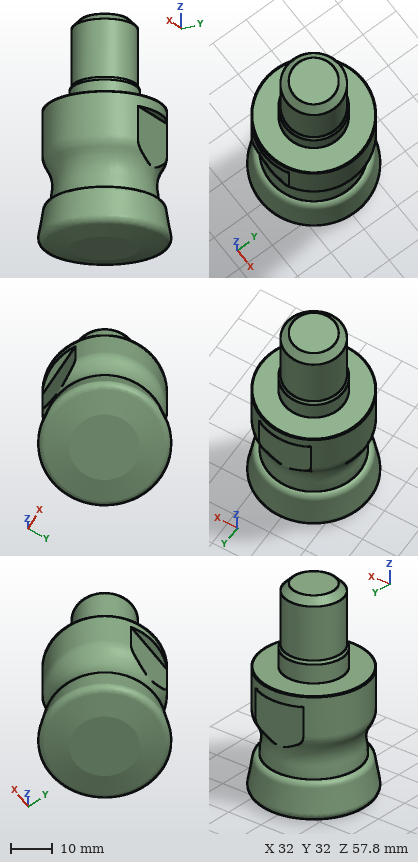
import cadquery as cq
import math

foot_height = 11.1
foot_base_radius = 8.5
foot_top_radius = 14.55
foot_taper = 10.0
foot_fillet = 1.75

neck_radius = 13.05
neck_straight = 0.5
neck_flare_height = 13.9
neck_flare_radius = 12.8
throat_height = 20.9
throat_radius = 14.15
collar_radius = 30.0 / 2
collar_bottom = 23.7
collar_top = 34.95
collar_chamfer = 0.25

flat_distance = 2 * neck_radius
flat_top = 31.9
flat_bottom = neck_flare_height

stud_radius = 16.0 / 2
stud_root_radius = 17.0 / 2
stud_root_top = 40.1
stud_root_chamfer_height = 0.85
stud_tip_radius = 6.0
total_height = 57.75
tip_chamfer = stud_radius - stud_tip_radius


def make_foot():
    """Tapered round foot with a conical underside and rounded rims."""
    slope = math.tan(math.radians(foot_taper))
    rim_radius = (foot_top_radius + slope * (foot_height + slope * foot_base_radius)) / (1 + slope**2)
    rim_height = slope * (rim_radius - foot_base_radius)
    blank = (
        cq.Workplane("XZ")
        .lineTo(foot_base_radius, 0)
        .lineTo(rim_radius, rim_height)
        .lineTo(foot_top_radius, foot_height)
        .lineTo(0, foot_height)
        .close()
        .revolve(360, (0, 0), (0, 1))
    )
    rim = cq.selectors.RadiusNthSelector(-1)
    top_edge = cq.selectors.RadiusNthSelector(0)
    rounded = blank.edges(rim).fillet(foot_fillet)
    return rounded.faces(">Z").edges(top_edge).fillet(foot_fillet)


def make_turned_body():
    """Neck, collar and stud turned as one piece standing on the foot."""
    return (
        cq.Workplane("XZ")
        .moveTo(0, total_height)
        .lineTo(stud_tip_radius, total_height)
        .lineTo(stud_radius, total_height - tip_chamfer)
        .lineTo(stud_radius, stud_root_top + stud_root_chamfer_height)
        .lineTo(stud_root_radius, stud_root_top)
        .lineTo(stud_root_radius, collar_top)
        .lineTo(collar_radius - collar_chamfer, collar_top)
        .lineTo(collar_radius, collar_top - collar_chamfer)
        .lineTo(collar_radius, collar_bottom)
        .tangentArcPoint((throat_radius, throat_height), relative=False)
        .tangentArcPoint((neck_flare_radius, neck_flare_height), relative=False)
        .tangentArcPoint((neck_radius, foot_height + neck_straight), relative=False)
        .lineTo(neck_radius, foot_height)
        .lineTo(0, foot_height)
        .close()
        .revolve(360, (0, 0), (0, 1))
    )


def cut_wrench_flats(body):
    """Mill two parallel flats into the collar, facing -Y and +Y."""
    cutter_depth = collar_radius
    for side in (-1, 1):
        cutter = (
            cq.Workplane("XY", origin=(0, side * (flat_distance + cutter_depth) / 2, flat_bottom))
            .rect(2 * collar_radius, cutter_depth)
            .extrude(flat_top - flat_bottom)
        )
        body = body.cut(cutter)
    return body


foot = make_foot()
stud_body = cut_wrench_flats(make_turned_body())

result = cq.Compound.makeCompound([foot.solids().val(), stud_body.solids().val()])